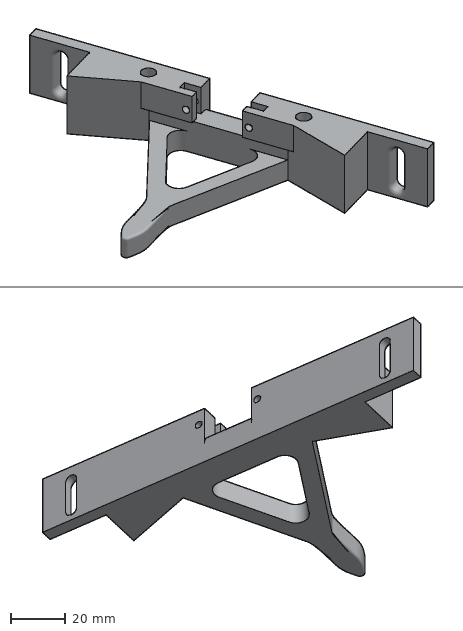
import cadquery as cq
import math


length = 166.0
height = 25.5
flange_thickness = 5.0
block_half_width = 58.0
block_depth = 23.0
slope_inner_x = 31.9
clamp_depth = 14.0
web_depth = 13.0
web_height = 14.0

gap_half_width = 10.5
web_back_round = 5.0
notch_half_width = 17.5
notch_back = 7.0
notch_front = 10.5

pin_diameter = 3.0
pin_x = 13.1
pin_z = 19.0
screw_diameter = 6.0
screw_x = 32.4
screw_inset = 7.0
screw_hole_length = height - web_height

slot_x = 70.2
slot_z = 12.0
slot_width = 4.8
slot_straight = 14.1
slot_rim_round = 2.0

arm_thickness = 9.0
arm_taper = 0.5
arm_apex = 70.7
window_apex = 55.5
window_round = 5.0
handle_half_width = 4.8
handle_bend_round = 7.5
shoulder_round = 15.0
tip_round = 2.0
handle_edge_round = 1.0
blend_end = 72.9
reach = 88.1
bend_depth = arm_apex - handle_half_width / arm_taper

pick_margin = 0.2


def symmetric_plate(half_outline, thickness):
    """Extrude an outline given by its +X half as (x, depth) pairs, from z = 0."""
    right = [(x, -depth) for x, depth in half_outline]
    left = [(-x, y) for x, y in reversed(right) if x > 0]
    return cq.Workplane("XY").polyline(right + left).close().extrude(thickness)


def round_corners(plate, half_width, depth, radius):
    """Round the vertical edges at x = +/-half_width and the given depth."""
    for x in {half_width, -half_width}:
        corner = cq.selectors.BoxSelector(
            (x - pick_margin, -depth - pick_margin, -pick_margin),
            (x + pick_margin, -depth + pick_margin, arm_thickness + pick_margin),
            boundingbox=True,
        )
        plate = plate.edges(corner).fillet(radius)
    return plate


def block_layer(front_depth, thickness):
    """Bar and blocks, with the sloped fronts running in until they reach front_depth."""
    slope = (block_half_width - slope_inner_x) / (block_depth - clamp_depth)
    inner_x = slope_inner_x - (clamp_depth - front_depth) * slope
    outline = [
        (length / 2, 0),
        (length / 2, flange_thickness),
        (block_half_width, flange_thickness),
        (block_half_width, block_depth),
        (inner_x, front_depth),
    ]
    return symmetric_plate(outline, thickness)


def central_box(half_width, back, front):
    """Cutter above the web, between two depths."""
    return cq.Workplane("XY").box(
        2 * half_width, front - back, height, centered=(True, False, False)
    ).translate((0, -front, web_height))


def make_body():
    lower = block_layer(web_depth, web_height)
    upper = block_layer(clamp_depth, height - web_height).translate((0, 0, web_height))
    body = lower.union(upper)
    body = body.cut(central_box(gap_half_width, 0, clamp_depth))
    body = body.cut(central_box(notch_half_width, notch_back, notch_front))
    return body.cut(web_rounding())


def web_rounding():
    """Cutter that rounds the upper back edge of the web inside the gap."""
    corner = cq.Workplane("XY").box(
        2 * gap_half_width, web_back_round, web_back_round, centered=(True, False, False)
    ).translate((0, -web_back_round, web_height - web_back_round))
    rod = (
        cq.Workplane("YZ", origin=(-gap_half_width, 0, 0))
        .center(-web_back_round, web_height - web_back_round)
        .circle(web_back_round)
        .extrude(2 * gap_half_width)
    )
    return corner.cut(rod)


def make_arms():
    arm_root = (arm_apex - web_depth) * arm_taper
    outline = [
        (arm_root, web_depth),
        (handle_half_width, bend_depth),
        (handle_half_width - handle_edge_round, blend_end),
    ]
    arms = symmetric_plate(outline, arm_thickness)
    return round_corners(arms, handle_half_width, bend_depth, handle_bend_round)


def make_window():
    half_width = (window_apex - web_depth) * arm_taper
    window = symmetric_plate([(half_width, web_depth), (0, window_apex)], arm_thickness)
    return window.edges("|Z").fillet(window_round)


def make_handle():
    taper_angle = math.atan(arm_taper)
    apex = reach - tip_round + tip_round / math.sin(taper_angle)
    shoulder_depth = apex - handle_half_width / arm_taper
    outline = [
        (handle_half_width, bend_depth),
        (handle_half_width, shoulder_depth),
        (0, apex),
    ]
    handle = symmetric_plate(outline, arm_thickness)
    handle = round_corners(handle, handle_half_width, shoulder_depth, shoulder_round)
    handle = round_corners(handle, 0, apex, tip_round)
    return handle.faces("<Z or >Z").edges("not >Y").fillet(handle_edge_round)


def cut_slots(body):
    """Cut the mounting slots through the flanges and round their front rims."""
    overall = slot_straight + slot_width
    centres = [(-slot_x, slot_z), (slot_x, slot_z)]
    body = (
        body.copyWorkplane(cq.Workplane("XZ"))
        .pushPoints(centres)
        .slot2D(overall, slot_width, 90)
        .cutBlind(flange_thickness)
    )
    for x in (-slot_x, slot_x):
        rim = cq.selectors.BoxSelector(
            (x - slot_width, -flange_thickness - pick_margin, pick_margin),
            (x + slot_width, -flange_thickness + pick_margin, height - pick_margin),
        )
        body = body.edges(rim).fillet(slot_rim_round)
    return body


def make_hole_cutters():
    """Cutters for the pin holes along Y and the screw holes along Z."""
    pins = (
        cq.Workplane("XZ")
        .pushPoints([(-pin_x, pin_z), (pin_x, pin_z)])
        .circle(pin_diameter / 2)
        .extrude(clamp_depth)
    )
    screws = (
        cq.Workplane("XY", origin=(0, 0, height))
        .pushPoints([(-screw_x, -screw_inset), (screw_x, -screw_inset)])
        .circle(screw_diameter / 2)
        .extrude(-screw_hole_length)
    )
    return pins.union(screws)


body = cut_slots(make_body()).cut(make_hole_cutters())
lever = make_arms().cut(make_window()).union(make_handle())
result = body.union(lever)